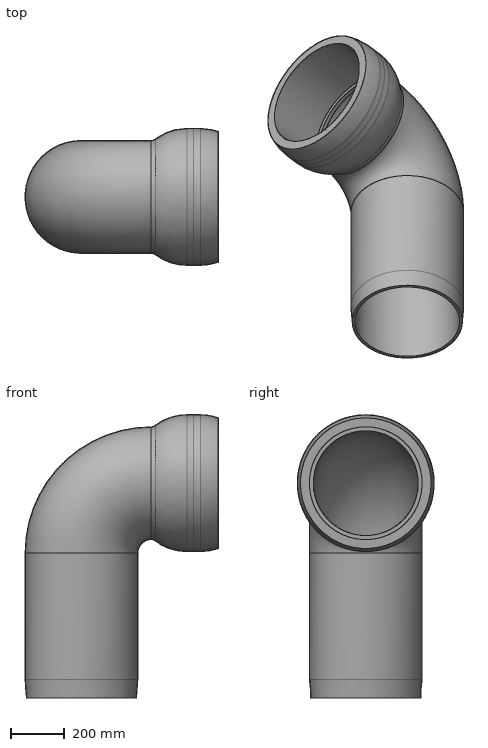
import cadquery as cq
import math

bore_radius = 390 / 2
pipe_radius = 420 / 2

straight_length = 540
taper_length = 70
taper_depth = 5

bend_radius = 260
outlet_height = straight_length + bend_radius

socket_start = bend_radius
socket_length = 250
socket_end = socket_start + socket_length
socket_radius = 510 / 2
crown_center = 418
crown_width = 50
crown_start = crown_center - crown_width / 2
crown_end = crown_center + crown_width / 2
neck_radius = 25

flare_length = crown_start - socket_start
flare_rise = socket_radius - pipe_radius
flare_angle = 2 * math.atan(flare_rise / flare_length)
shoulder_radius = flare_length / math.sin(flare_angle) - neck_radius
neck_end = socket_start + neck_radius * math.sin(flare_angle)


def make_straight_pipe():
    """Hollow pipe with a slightly tapered bottom end."""
    return (
        cq.Workplane("XZ")
        .moveTo(bore_radius, 0)
        .lineTo(pipe_radius - taper_depth, 0)
        .lineTo(pipe_radius, taper_length)
        .lineTo(pipe_radius, straight_length)
        .lineTo(bore_radius, straight_length)
        .close()
        .revolve(360, (0, 0), (0, 1))
    )


def make_bend():
    """Hollow quarter torus that joins the straight pipe to the socket."""
    return (
        cq.Workplane("XY", origin=(0, 0, straight_length))
        .circle(pipe_radius)
        .circle(bore_radius)
        .revolve(90, (bend_radius, 0), (bend_radius, 1))
    )


def neck_point(angle):
    """Axial position and radius on the neck arc, after turning through the angle."""
    return (
        socket_start + neck_radius * math.sin(angle),
        pipe_radius + neck_radius * (1 - math.cos(angle)),
    )


def shoulder_point(crown_edge, offset):
    """Axial position and radius on a shoulder arc, at an offset from its crown edge."""
    drop = shoulder_radius - math.sqrt(shoulder_radius**2 - offset**2)
    return (crown_edge + offset, socket_radius - drop)


def make_socket():
    """Rounded bell whose inner step takes the end of a pipe of the same diameter.

    The crown stays two cylindrical bands that meet at its center, so the faces are not merged.
    """
    neck_middle = neck_point(flare_angle / 2)
    neck_tip = neck_point(flare_angle)
    rear_middle = shoulder_point(crown_start, (neck_end - crown_start) / 2)
    front_middle = shoulder_point(crown_end, (socket_end - crown_end) / 2)
    mouth = shoulder_point(crown_end, socket_end - crown_end)
    return (
        cq.Workplane("XZ", origin=(0, 0, outlet_height))
        .moveTo(socket_start, bore_radius)
        .lineTo(socket_start, pipe_radius)
        .threePointArc(neck_middle, neck_tip)
        .threePointArc(rear_middle, (crown_start, socket_radius))
        .lineTo(crown_center, socket_radius)
        .lineTo(crown_end, socket_radius)
        .threePointArc(front_middle, mouth)
        .lineTo(socket_end, pipe_radius)
        .lineTo(neck_end, pipe_radius)
        .lineTo(neck_end, bore_radius)
        .close()
        .revolve(360, (0, 0), (1, 0), clean=False)
    )


straight_pipe = make_straight_pipe()
bend = make_bend()
socket = make_socket()

result = cq.Compound.makeCompound([straight_pipe.val(), bend.val(), socket.val()])